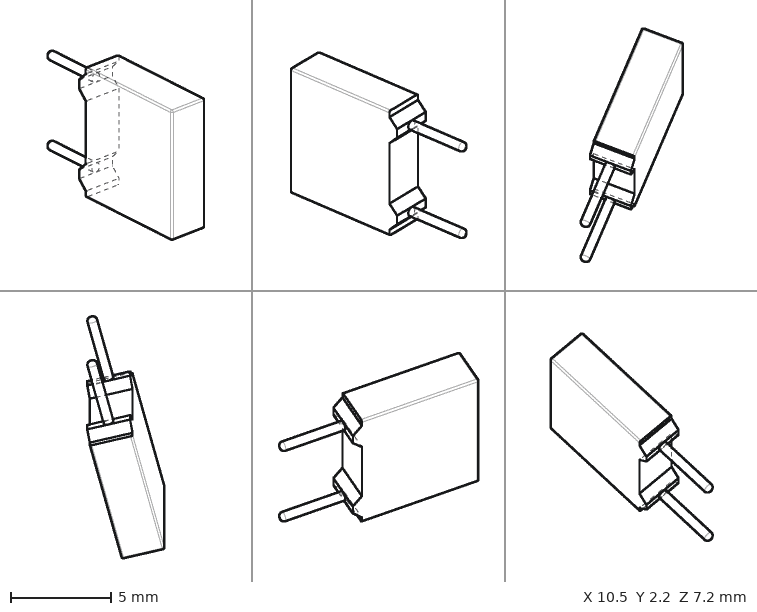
import cadquery as cq

total_length = 10.5
thickness = 2.2
height = 7.2
body_length = 6.5
edge_radius = 0.1

foot_depth = 0.5
foot_tip_width = 0.5
foot_base_width = foot_tip_width + 2 * foot_depth

pin_diameter = 0.5
pin_pitch = 5.0
pin_tip_radius = 0.2

pin_end_x = -total_length / 2
body_back_x = total_length / 2
body_front_x = body_back_x - body_length
foot_tip_x = body_front_x - foot_depth


def make_body():
    """Block with every edge rounded except those around the pin-side face."""
    block = cq.Workplane("XY").box(body_length, thickness, height)
    block = block.translate((body_front_x + body_length / 2, 0, 0))
    return block.edges("|X or >X").fillet(edge_radius)


def make_foot(z):
    """Trapezoidal foot across the full thickness, narrowing toward the pin."""
    return (
        cq.Workplane("XZ")
        .polyline([
            (body_front_x, z - foot_base_width / 2),
            (foot_tip_x, z - foot_tip_width / 2),
            (foot_tip_x, z + foot_tip_width / 2),
            (body_front_x, z + foot_base_width / 2),
        ])
        .close()
        .extrude(thickness / 2, both=True)
    )


def make_pin(z):
    """Round pin with a rounded free end, rooted in the body face."""
    return (
        cq.Workplane("YZ", origin=(pin_end_x, 0, z))
        .circle(pin_diameter / 2)
        .extrude(body_front_x - pin_end_x)
        .faces("<X")
        .edges()
        .fillet(pin_tip_radius)
    )


result = make_body()
for pin_z in (-pin_pitch / 2, pin_pitch / 2):
    result = result.union(make_foot(pin_z)).union(make_pin(pin_z))